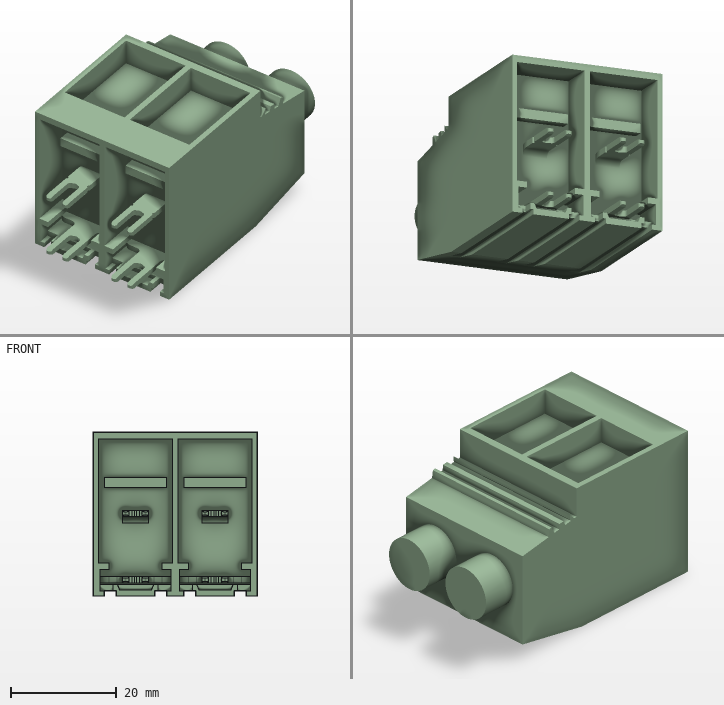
import cadquery as cq
import math


TOTAL_LENGTH = 56.0
PITCH = 15.0
POLE_CENTERS = (-PITCH / 2, PITCH / 2)

WIDTH = 31.0
HEIGHT = 31.0
BODY_LENGTH = 44.4
STEP_Y = 29.9
REAR_BOTTOM_Z = 2.8
REAR_TOP_Z = 22.25
TAPER = math.tan(math.radians(10))

BACK_TOOTH = (37.4, [(37.2, 25.1), (36.6, 25.25)], 35.85)
MIDDLE_TOOTH = (34.55, [(34.5, 25.15), (33.4, 25.25)], 33.0)
FRONT_TOOTH = (31.4, [(31.7, 24.85), (31.7, 25.8)], 30.45)

LABEL_WIDTH = 13.8
LABEL_FRONT_Y = 8.25
LABEL_BACK_Y = 28.3
LABEL_DEPTH = 5.3

CHAMBER_DEPTH = 7.55
CHAMBER_TOP_Z = 29.7
OUTER_WALL = 1.0
CENTER_WALL = 1.1
TAB_TOP_Z = 6.3
TAB_BOTTOM_Z = 5.1
TAB_GAP = 9.95
LOWER_WIDTH = 13.45
FLOOR_Z = 2.2

SLOT_TOP_Z = 1.0
SLOT_INNER = 7.35
SLOT_OUTER = 11.75
TRAY_WIDTH = 8.5
TRAY_LENGTH = 2.25
TRAY_POCKET_TOP = 6.85
TRAY_POCKET_BOTTOM = 6.0
TRAY_POCKET_Z = 1.2

BAR_WIDTH = 11.75
BAR_BOTTOM_Z = 20.55
BAR_TOP_Z = 22.4
BAR_FRONT_Y = 5.4

SLEEVE_DIAMETER = 10.8
SLEEVE_Z = 13.8

PIN_REACH = 4.4
THICKNESS = 1.2
UPPER_Z = 15.05
LOWER_Z = 2.5
FORK_WIDTH = 5.0
PRONG_WIDTH = 1.25
UPPER_FORK_ROOT_Y = 1.2
LOWER_FORK_ROOT_Y = 1.4
FORK_CORNER = 0.55
FORK_FLAT = 0.45
FORK_CROWN = 0.2
TIP_LENGTH = 0.8
TIP_DROP = 0.3
TIP_RADIUS = 0.5
NOTCH_Y = 2.7
NOTCH_RADIUS = 0.3
BEND_RADIUS = 1.2
WING_FRONT_Y = 5.8
WING_RADIUS = 1.7
WING_FILLET = 1.0

SLEEVE_END_Y = TOTAL_LENGTH - PIN_REACH
BEND_Y = CHAMBER_DEPTH - BEND_RADIUS


def box(x0, x1, y0, y1, z0, z1):
    """Box between two opposite corners."""
    return cq.Workplane("XY").box(x1 - x0, y1 - y0, z1 - z0, centered=False).translate((x0, y0, z0))


def centered_box(x, width, y0, y1, z0, z1):
    """Box of the given width, centred on x."""
    return box(x - width / 2, x + width / 2, y0, y1, z0, z1)


def slope_z(y):
    """Height of the sloping roof on the wire side."""
    return REAR_TOP_Z + (BODY_LENGTH - y) * TAPER


def grip_tooth(back_y, crest, front_y):
    """Points (Y, Z) of one tooth, whose two feet lie on the sloping roof."""
    return [(back_y, slope_z(back_y)), *crest, (front_y, slope_z(front_y))]


def housing_block():
    """Side outline with the sloping wire side and three grip teeth, extruded across X."""
    bottom_taper_y = BODY_LENGTH - REAR_BOTTOM_Z / TAPER
    outline = [
        (0, 0),
        (bottom_taper_y, 0),
        (BODY_LENGTH, REAR_BOTTOM_Z),
        (BODY_LENGTH, REAR_TOP_Z),
        *grip_tooth(*BACK_TOOTH),
        *grip_tooth(*MIDDLE_TOOTH),
        *grip_tooth(*FRONT_TOOTH),
        (STEP_Y, slope_z(STEP_Y)),
        (STEP_Y, HEIGHT),
        (0, HEIGHT),
    ]
    return cq.Workplane("YZ").polyline(outline).close().extrude(WIDTH / 2, both=True)


def chamber(x):
    """Open space of one chamber, narrowed by a tab on each side and bounded below by the floor."""
    inner_x = math.copysign(CENTER_WALL / 2, x)
    outer_x = math.copysign(WIDTH / 2 - OUTER_WALL, x)
    left, right = sorted((inner_x, outer_x))
    space = box(left, right, 0, CHAMBER_DEPTH, TAB_TOP_Z, CHAMBER_TOP_Z)
    space = space.union(centered_box(x, TAB_GAP, 0, CHAMBER_DEPTH, TAB_BOTTOM_Z, TAB_TOP_Z))
    return space.union(centered_box(x, LOWER_WIDTH, 0, CHAMBER_DEPTH, FLOOR_Z, TAB_BOTTOM_Z))


def floor_relief(x):
    """Space in front of the floor on both sides of the tray, and the shallow pocket in the tray."""
    sides = centered_box(x, LOWER_WIDTH, 0, TRAY_LENGTH, SLOT_TOP_Z, FLOOR_Z)
    sides = sides.cut(centered_box(x, TRAY_WIDTH, 0, TRAY_LENGTH, SLOT_TOP_Z, FLOOR_Z))
    pocket_outline = [
        (x - TRAY_POCKET_TOP / 2, FLOOR_Z),
        (x - TRAY_POCKET_BOTTOM / 2, TRAY_POCKET_Z),
        (x + TRAY_POCKET_BOTTOM / 2, TRAY_POCKET_Z),
        (x + TRAY_POCKET_TOP / 2, FLOOR_Z),
    ]
    pocket = cq.Workplane("XZ").polyline(pocket_outline).close().extrude(-TRAY_LENGTH)
    return sides.union(pocket)


def bottom_slots(x):
    """Pair of grooves along the underside, running out through the sloping bottom."""
    pair = centered_box(x, SLOT_OUTER, 0, BODY_LENGTH, 0, SLOT_TOP_Z)
    return pair.cut(centered_box(x, SLOT_INNER, 0, BODY_LENGTH, 0, SLOT_TOP_Z))


def housing_body():
    """Block with every pocket, chamber and slot cut, and the stop bars added."""
    body = housing_block()
    for x in POLE_CENTERS:
        body = body.cut(
            centered_box(x, LABEL_WIDTH, LABEL_FRONT_Y, LABEL_BACK_Y, HEIGHT - LABEL_DEPTH, HEIGHT)
        )
        body = body.cut(chamber(x)).cut(floor_relief(x)).cut(bottom_slots(x))
        body = body.union(
            centered_box(x, BAR_WIDTH, BAR_FRONT_Y, CHAMBER_DEPTH, BAR_BOTTOM_Z, BAR_TOP_Z)
        )
    return body


def wire_sleeve(x):
    """Plain cylinder standing on the wire side of the housing."""
    sleeve = cq.Workplane("XZ", origin=(x, BODY_LENGTH, SLEEVE_Z)).circle(SLEEVE_DIAMETER / 2)
    return sleeve.extrude(BODY_LENGTH - SLEEVE_END_Y)


def fork_gap(root_y):
    """Gap between the prongs, with rounded corners and a slightly crowned end."""
    half = FORK_WIDTH / 2 - PRONG_WIDTH
    corner_y = root_y + FORK_CORNER
    crown_y = corner_y + FORK_CROWN
    flat = FORK_FLAT / 2
    return (
        cq.Workplane("XY")
        .moveTo(-half, -PIN_REACH)
        .lineTo(-half, root_y)
        .radiusArc((-half + FORK_CORNER, corner_y), FORK_CORNER)
        .lineTo(-flat, crown_y)
        .lineTo(flat, crown_y)
        .lineTo(half - FORK_CORNER, corner_y)
        .radiusArc((half, root_y), FORK_CORNER)
        .lineTo(half, -PIN_REACH)
        .close()
        .extrude(HEIGHT)
    )


def fork(back_y, root_y):
    """Two-pronged plan shape with rounded prong tips, extruded over the full height."""
    blank = centered_box(0, FORK_WIDTH, -PIN_REACH, back_y, 0, HEIGHT)
    prongs = blank.cut(fork_gap(root_y))
    return prongs.edges("|Z").edges("<Y").fillet(TIP_RADIUS)


def plate_side(bottom_z, back_y):
    """Side outline of a contact up to its back end, with both tip faces tapered."""
    top_z = bottom_z + THICKNESS
    taper_y = TIP_LENGTH - PIN_REACH
    return (
        cq.Workplane("YZ")
        .moveTo(back_y, bottom_z)
        .lineTo(taper_y, bottom_z)
        .lineTo(-PIN_REACH, bottom_z + TIP_DROP)
        .lineTo(-PIN_REACH, top_z - TIP_DROP)
        .lineTo(taper_y, top_z)
        .lineTo(back_y, top_z)
    )


def upper_contact(x):
    """Forked contact whose back end bends down into the wall of the chamber."""
    outer_radius = BEND_RADIUS + THICKNESS
    bend_center_z = UPPER_Z - BEND_RADIUS
    side = (
        plate_side(UPPER_Z, BEND_Y)
        .radiusArc((BEND_Y + outer_radius, bend_center_z), outer_radius)
        .lineTo(BEND_Y + BEND_RADIUS, bend_center_z)
        .radiusArc((BEND_Y, UPPER_Z), -BEND_RADIUS)
        .close()
        .extrude(FORK_WIDTH, both=True)
    )
    notches = (
        cq.Workplane("XY")
        .pushPoints([(-FORK_WIDTH / 2, NOTCH_Y), (FORK_WIDTH / 2, NOTCH_Y)])
        .circle(NOTCH_RADIUS)
        .extrude(HEIGHT)
    )
    plan = fork(BEND_Y + outer_radius, UPPER_FORK_ROOT_Y).cut(notches)
    return plan.intersect(side).translate((x, 0, 0))


def lower_contact(x):
    """Forked contact with a wide, round-cornered back end that fills the chamber."""
    half_fork = FORK_WIDTH / 2
    reach = WING_FILLET / 2
    wings = centered_box(0, LOWER_WIDTH, WING_FRONT_Y, CHAMBER_DEPTH, 0, HEIGHT)
    wings = wings.edges("|Z").edges("<Y").fillet(WING_RADIUS)
    plan = fork(CHAMBER_DEPTH, LOWER_FORK_ROOT_Y).union(wings)
    inner_corners = cq.selectors.BoxSelector(
        (-half_fork - reach, WING_FRONT_Y - reach, 0),
        (half_fork + reach, WING_FRONT_Y + reach, HEIGHT),
    )
    plan = plan.edges("|Z").edges(inner_corners).fillet(WING_FILLET)
    side = plate_side(LOWER_Z, CHAMBER_DEPTH).close().extrude(LOWER_WIDTH, both=True)
    return plan.intersect(side).translate((x, 0, 0))


sleeves = [wire_sleeve(x) for x in POLE_CENTERS]
upper_contacts = [upper_contact(x) for x in POLE_CENTERS]
lower_contacts = [lower_contact(x) for x in POLE_CENTERS]

housing = housing_body()
for contact in upper_contacts:
    housing = housing.cut(contact)

bodies = [housing, *sleeves, *upper_contacts, *lower_contacts]
result = cq.Compound.makeCompound([body.solids().val() for body in bodies])